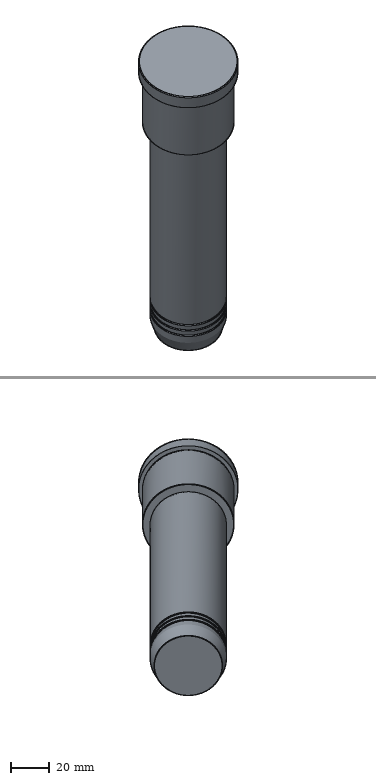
import cadquery as cq
import math

total_length = 200.0
head_height = 8.0
collar_end_depth = 46.0
tip_height = 8.0

head_radius = 26.0
collar_radius = 24.0
shaft_radius = 20.0

tip_taper_angle = 15.0
tip_radius = shaft_radius - tip_height * math.tan(math.radians(tip_taper_angle))

head_relief = 0.5
collar_relief = 1.0

head_chamfer = 0.5
collar_chamfer = 0.3
tip_chamfer = 0.2

groove_count = 3
groove_pitch = 4.0
groove_width = 1.0
groove_depth = groove_width / 2
groove_start = 13.0

head_bottom = total_length - head_height
collar_top = head_bottom - head_relief
collar_bottom = total_length - collar_end_depth
shaft_top = collar_bottom - collar_relief


def make_cylinder(radius, bottom, top):
    """Solid cylinder on the Z axis between two heights."""
    return cq.Workplane("XY").workplane(offset=bottom).circle(radius).extrude(top - bottom)


def make_head():
    """Head disc with a broken top edge, on its slightly narrower relief ring."""
    disc = make_cylinder(head_radius, head_bottom, total_length)
    disc = disc.faces(">Z").edges().chamfer(head_chamfer)
    return disc.union(make_cylinder(collar_radius - head_relief, collar_top, head_bottom))


def make_collar():
    """Collar with a broken lower edge, on its slightly narrower relief ring."""
    collar = make_cylinder(collar_radius, collar_bottom, collar_top)
    collar = collar.faces("<Z").edges().chamfer(collar_chamfer)
    return collar.union(make_cylinder(shaft_radius - collar_relief, shaft_top, collar_bottom))


def make_shaft():
    """Straight shaft ending in a tapered tip with a broken lower edge."""
    outline = [
        (0, 0),
        (tip_radius, 0),
        (shaft_radius, tip_height),
        (shaft_radius, shaft_top),
        (0, shaft_top),
    ]
    shaft = cq.Workplane("XZ").polyline(outline).close().revolve()
    return shaft.faces("<Z").edges().chamfer(tip_chamfer)


def make_groove(bottom):
    """Ring with a triangular section that cuts one V groove above the given height."""
    section = [
        (shaft_radius, bottom),
        (shaft_radius - groove_depth, bottom + groove_width / 2),
        (shaft_radius, bottom + groove_width),
    ]
    return cq.Workplane("XZ").polyline(section).close().revolve(360, (0, 0), (0, 1))


result = make_shaft().union(make_collar()).union(make_head())
for index in range(groove_count):
    result = result.cut(make_groove(groove_start + index * groove_pitch))